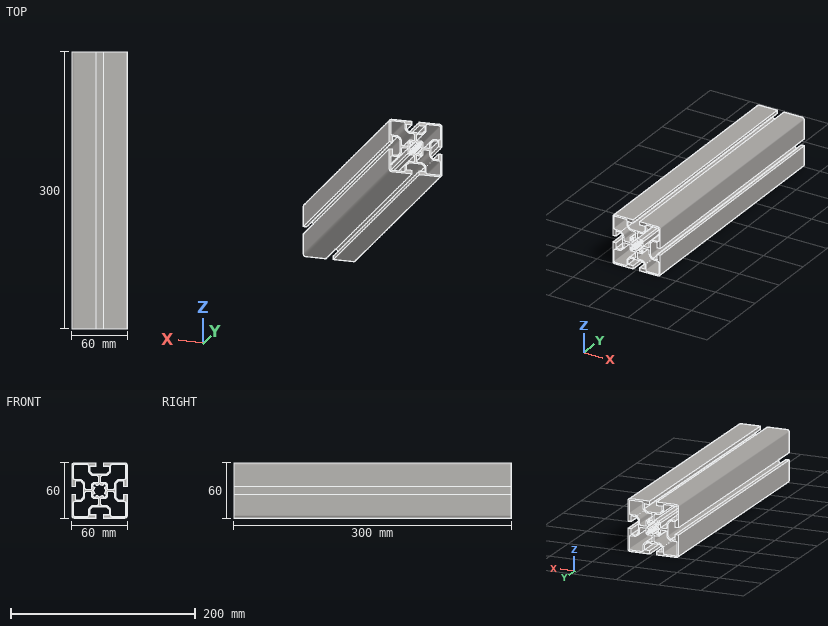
import cadquery as cq
import math

side = 60.0
length = 300.0
half = side / 2
wall = 1.8
corner_radius = 3.0
inner_corner_radius = 1.2

slot_opening = 8.2
lip_thickness = 4.0
slot_width = 21.0
slot_depth = 12.4
slot_wall = 1.5
slot_floor_chamfer = 3.0
slot_floor_radius = 3.0
slot_back_radius = 4.5
lip_root_radius = 1.5

web_thickness = 2.4
web_fillet = 1.6

core_side = 17.0
core_wall = 1.6
core_diameter = 21.6
bore_diameter = 12.2
pocket_half_angle = 13.0
notch_width = 3.2
notch_tip = 7.2

slot_shell_half_width = slot_width / 2 + slot_wall
slot_floor = half - slot_depth
slot_floor_back = slot_floor - slot_wall
slot_back_chamfer = slot_floor_chamfer + (2 - math.sqrt(2)) * slot_wall
side_angles = (0, 90, 180, 270)
side_to_corner_angle = 45


def section():
    """Sketch plane whose extrusion is centred on Y = 0."""
    return cq.Workplane("XZ")


def extrude(sketch):
    return sketch.extrude(length / 2, both=True)


def turned(body, angle):
    return body.rotate((0, 0, 0), (0, 1, 0), angle)


def box(width, z_low, z_high):
    """Full-length bar, centred on X, between two heights."""
    return extrude(section().center(0, (z_low + z_high) / 2).rect(width, z_high - z_low))


def rounded_square(size, radius):
    return extrude(section().rect(size, size)).edges("|Y").fillet(radius)


def trimmed_square(size, diameter):
    """Square bar whose corners are trimmed by a circle about its centre."""
    return extrude(section().rect(size, size)).intersect(extrude(section().circle(diameter / 2)))


def outer_frame():
    outside = rounded_square(side, corner_radius)
    inside = rounded_square(side - 2 * wall, inner_corner_radius)
    return outside.cut(inside)


def trough(width, floor, chamfer):
    """Bar from the slot floor up to the outer face, with its two floor corners chamfered."""
    return box(width, floor, half).edges("|Y and <Z").chamfer(chamfer)


def slot_shell():
    """Block that holds the slot wall and lips on the +Z side, with its web to the core."""
    shell = trough(2 * slot_shell_half_width, slot_floor_back, slot_back_chamfer)
    shell = shell.edges("|Y and (not >Z)").fillet(slot_back_radius)
    web = box(web_thickness, core_side / 2 - core_wall / 2, slot_floor_back + slot_wall / 2)
    return shell.union(web)


def slot_space():
    """T-shaped space of the slot on the +Z side."""
    lip_underside = half - lip_thickness
    chamber = trough(slot_width, slot_floor, slot_floor_chamfer)
    chamber = chamber.edges("|Y and <Z").fillet(slot_floor_radius)
    chamber = chamber.intersect(box(slot_width, slot_floor, lip_underside))
    return chamber.union(box(slot_opening, lip_underside, half))


def fillet_at(body, radius, x, z):
    """Round the two lengthwise edges at (x, z) and (-x, z) on each of the four sides."""
    for angle in side_angles:
        turn = math.radians(angle)
        for mirrored_x in (x, -x):
            edge_x = mirrored_x * math.cos(turn) + z * math.sin(turn)
            edge_z = z * math.cos(turn) - mirrored_x * math.sin(turn)
            edge = cq.selectors.NearestToPointSelector((edge_x, 0, edge_z))
            body = body.edges("|Y").edges(edge).fillet(radius)
    return body


def screw_bore():
    """Round bore with a notch at each side and a pocket at each corner, leaving eight teeth."""
    bore = extrude(section().circle(bore_diameter / 2))
    pocket_limit = trimmed_square(core_side - 2 * core_wall, core_diameter - 2 * core_wall)
    spread = core_side * math.tan(math.radians(pocket_half_angle))
    wedge = extrude(section().polyline([(0, 0), (-spread, core_side), (spread, core_side)]).close())
    notch_base = bore_diameter / 2 * math.cos(math.asin(notch_width / bore_diameter))
    notch_outline = [(-notch_width / 2, notch_base), (0, notch_tip), (notch_width / 2, notch_base), (0, 0)]
    notch = extrude(section().polyline(notch_outline).close())
    for angle in side_angles:
        bore = bore.union(turned(notch, angle))
        bore = bore.union(turned(wedge, angle + side_to_corner_angle).intersect(pocket_limit))
    return bore


profile = outer_frame().union(trimmed_square(core_side, core_diameter))
for side_angle in side_angles:
    profile = profile.union(turned(slot_shell(), side_angle))

profile = fillet_at(profile, lip_root_radius, slot_shell_half_width, half - wall)
profile = fillet_at(profile, web_fillet, web_thickness / 2, slot_floor_back)

for side_angle in side_angles:
    profile = profile.cut(turned(slot_space(), side_angle))

result = profile.cut(screw_bore())